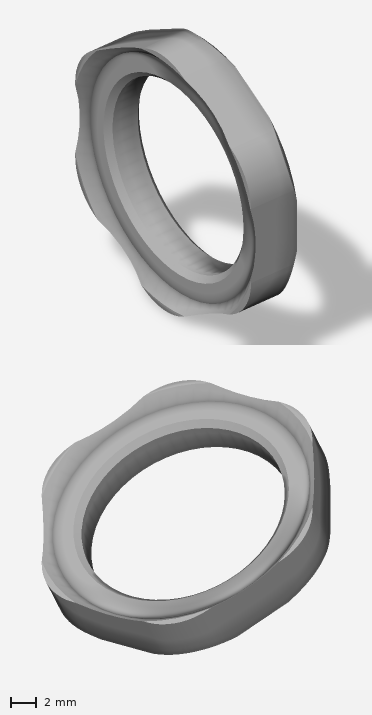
import cadquery as cq
import math

across_flats = 22.0
across_corners = 23.85
thickness = 4.5

bore_diameter = 16.5
bore_chamfer = 0.5

dish_floor_radius = 10.43
dish_rim_radius = 11.45
dish_depth = dish_rim_radius - dish_floor_radius

rear_chamfer = 0.67

front_y = -thickness / 2
rear_y = thickness / 2
outer_radius = across_corners / 2
bore_radius = bore_diameter / 2

sharp_corner_radius = across_flats / 2 / math.cos(math.radians(30))
corner_shortening = sharp_corner_radius - outer_radius
corner_fillet = corner_shortening / (1 / math.cos(math.radians(30)) - 1)


def make_hexagon():
    """Rounded hexagonal prism with two corners on the Z axis."""
    prism = (
        cq.Workplane("XZ", origin=(0, rear_y, 0))
        .transformed(rotate=(0, 0, 90))
        .polygon(6, 2 * sharp_corner_radius)
        .extrude(thickness)
    )
    return prism.edges("|Y").fillet(corner_fillet)


def make_turned_body():
    """Ring about the Y axis that carries the dish, bore and rear chamfers."""
    floor_y = front_y + dish_depth
    profile = [
        (bore_radius, rear_y - bore_chamfer),
        (bore_radius + bore_chamfer, rear_y),
        (outer_radius - rear_chamfer, rear_y),
        (outer_radius, rear_y - rear_chamfer),
        (outer_radius, front_y),
        (dish_rim_radius, front_y),
        (dish_floor_radius, floor_y),
        (bore_radius + bore_chamfer, floor_y),
        (bore_radius, floor_y + bore_chamfer),
    ]
    return cq.Workplane("XY").polyline(profile).close().revolve(360, (0, 0, 0), (0, 1, 0))


result = make_hexagon().intersect(make_turned_body())